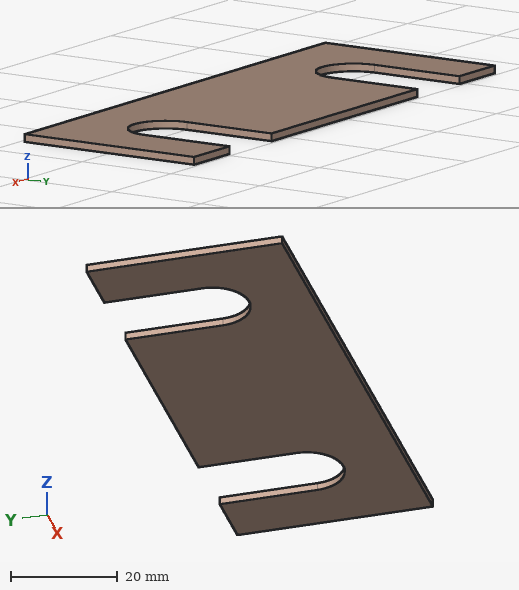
import cadquery as cq

plate_length = 101.6
plate_width = 38.1
plate_thickness = 1.5

slot_spacing = 63.5
slot_width = 14.2
slot_end_radius = slot_width / 2
slot_end_center_y = 0.0

back_edge_y = plate_width / 2


def make_plate():
    """Flat plate centred on the origin in X and Y, resting on Z = 0."""
    return cq.Workplane("XY").box(
        plate_length, plate_width, plate_thickness, centered=(True, True, False)
    )


def make_slot(center_x):
    """Through cutter: straight sides from the +Y edge, ending in a half circle."""
    left_x = center_x - slot_end_radius
    right_x = center_x + slot_end_radius
    return (
        cq.Workplane("XY")
        .moveTo(left_x, back_edge_y)
        .lineTo(left_x, slot_end_center_y)
        .threePointArc(
            (center_x, slot_end_center_y - slot_end_radius),
            (right_x, slot_end_center_y),
        )
        .lineTo(right_x, back_edge_y)
        .close()
        .extrude(plate_thickness)
    )


result = make_plate()
for side in (-1, 1):
    result = result.cut(make_slot(side * slot_spacing / 2))